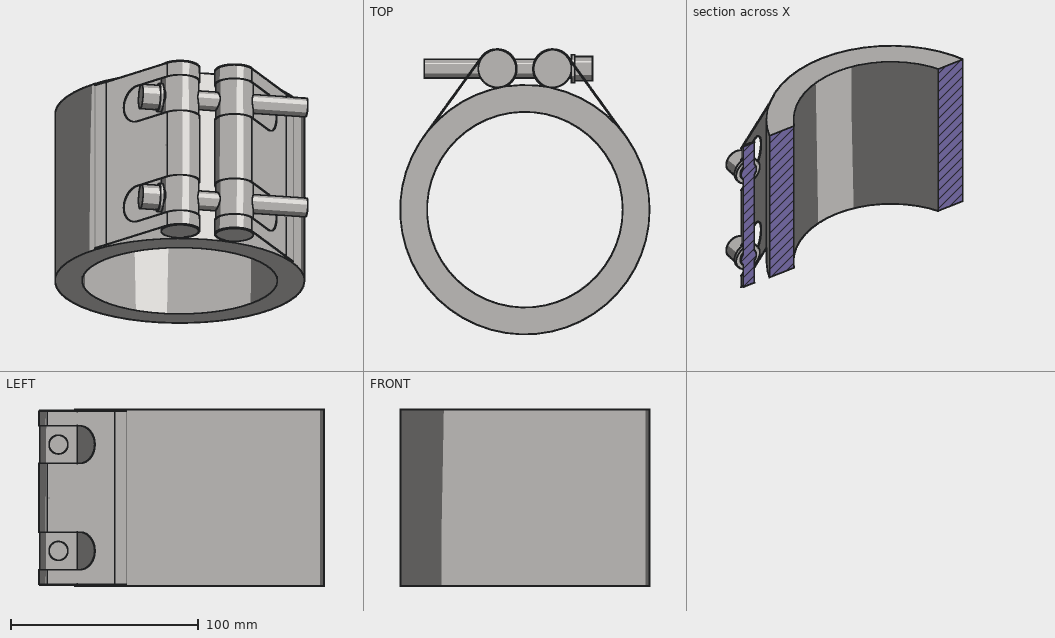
import cadquery as cq
import math

sleeve_diameter = 132.8
bore_diameter = 104.0
sleeve_height = 94.0

strap_thickness = 0.5
strap_height = 92.0

pin_diameter = 20.0
pin_height = 93.0
pin_x = 14.7

bolt_spacing = 56.5
bolt_diameter = 10.0
bolt_start_x = -53.7
washer_diameter = 15.0
washer_thickness = 1.8
head_diameter = 13.0
head_length = 9.5

slot_width = 20.0
slot_round_offset = 21.3

sleeve_radius = sleeve_diameter / 2
pin_radius = pin_diameter / 2
pin_center_distance = sleeve_radius + pin_radius
pin_y = math.sqrt(pin_center_distance**2 - pin_x**2)
loop_radius = pin_radius + strap_thickness
bolt_heights = (-bolt_spacing / 2, bolt_spacing / 2)

pin_angle = math.atan2(pin_y, -pin_x)
tangent_angle = pin_angle + math.acos((sleeve_radius - loop_radius) / pin_center_distance)
contact_angle = pin_angle - math.pi


def polar(radius, angle, center=(0, 0)):
    return (center[0] + radius * math.cos(angle), center[1] + radius * math.sin(angle))


def upright_cylinder(diameter, height):
    return cq.Workplane("XY").circle(diameter / 2).extrude(height / 2, both=True)


def bolt_section(diameter, start_x, length, z):
    return cq.Workplane("YZ", origin=(start_x, pin_y, z)).circle(diameter / 2).extrude(length)


def make_bolt(z):
    washer_x = pin_x + pin_radius
    head_x = washer_x + washer_thickness
    shank = bolt_section(bolt_diameter, bolt_start_x, head_x - bolt_start_x, z)
    washer = bolt_section(washer_diameter, washer_x, washer_thickness, z)
    head = bolt_section(head_diameter, head_x, head_length, z)
    return shank.union(washer).union(head)


def make_slot_cutter(z):
    """Round-ended cutter, square to the flat strap and open past the pin."""
    slot_plane = cq.Plane(
        origin=(-pin_x, pin_y, z),
        xDir=(-math.sin(tangent_angle), math.cos(tangent_angle), 0),
        normal=(math.cos(tangent_angle), math.sin(tangent_angle), 0),
    )
    half_width = slot_width / 2
    depth = 2 * loop_radius
    return (
        cq.Workplane(slot_plane)
        .moveTo(-depth, half_width)
        .lineTo(slot_round_offset, half_width)
        .threePointArc((slot_round_offset + half_width, 0), (slot_round_offset, -half_width))
        .lineTo(-depth, -half_width)
        .close()
        .extrude(depth, both=True)
    )


def make_strap():
    """Slotted strap from the sleeve tangent, over the -X pin and down to the sleeve."""
    center = (-pin_x, pin_y)
    middle_angle = (tangent_angle + contact_angle) / 2
    strap = (
        cq.Workplane("XY")
        .moveTo(*polar(sleeve_radius, tangent_angle))
        .lineTo(*polar(loop_radius, tangent_angle, center))
        .threePointArc(
            polar(loop_radius, middle_angle, center),
            polar(loop_radius, contact_angle, center),
        )
        .lineTo(*polar(pin_radius, contact_angle, center))
        .threePointArc(
            polar(pin_radius, middle_angle, center),
            polar(pin_radius, tangent_angle, center),
        )
        .lineTo(*polar(sleeve_radius - strap_thickness, tangent_angle))
        .close()
        .extrude(strap_height / 2, both=True)
    )
    for z in bolt_heights:
        strap = strap.cut(make_slot_cutter(z))
    return strap


strap = make_strap()
result = upright_cylinder(sleeve_diameter, sleeve_height)
result = result.cut(upright_cylinder(bore_diameter, sleeve_height))
result = result.union(strap).union(strap.mirror("YZ"))

for x in (-pin_x, pin_x):
    result = result.union(upright_cylinder(pin_diameter, pin_height).translate((x, pin_y, 0)))

for z in bolt_heights:
    result = result.union(make_bolt(z))